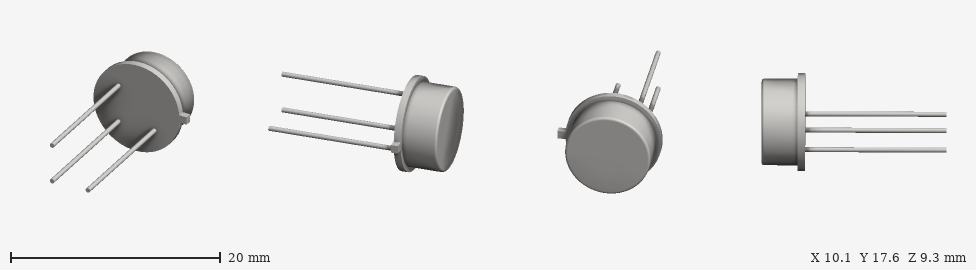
import cadquery as cq

TOTAL_LENGTH = 17.61
LEAD_LENGTH = 13.47
FLANGE_THICKNESS = 0.7
CAP_HEIGHT = TOTAL_LENGTH - LEAD_LENGTH - FLANGE_THICKNESS

FLANGE_DIAMETER = 9.3
CAP_DIAMETER = 8.26
CAP_EDGE_RADIUS = 0.25

TAB_REACH = 5.42
TAB_WIDTH = 0.81

LEAD_DIAMETER = 0.48
LEAD_OFFSET = 1.94
LEAD_POSITIONS = [
    (-LEAD_OFFSET, LEAD_OFFSET),
    (-LEAD_OFFSET, -LEAD_OFFSET),
    (LEAD_OFFSET, -LEAD_OFFSET),
]


def plane_at(y):
    """Workplane facing -Y, with local axes along X and Z of the part."""
    plane = cq.Plane(origin=(0, y, 0), xDir=(1, 0, 0), normal=(0, -1, 0))
    return cq.Workplane(plane)


def make_header():
    """Flange with its locating tab and the three leads, as one solid.

    The underside of the flange lies at Y = 0.
    """
    top = plane_at(FLANGE_THICKNESS)
    flange = top.circle(FLANGE_DIAMETER / 2).extrude(FLANGE_THICKNESS)
    tab = top.center(TAB_REACH / 2, 0).rect(TAB_REACH, TAB_WIDTH).extrude(FLANGE_THICKNESS)
    leads = plane_at(0).pushPoints(LEAD_POSITIONS).circle(LEAD_DIAMETER / 2).extrude(LEAD_LENGTH)
    return flange.union(tab).union(leads)


def make_cap():
    """Round cap seated on the flange, with a rounded outer end edge."""
    cap = plane_at(FLANGE_THICKNESS + CAP_HEIGHT).circle(CAP_DIAMETER / 2).extrude(CAP_HEIGHT)
    return cap.faces(">Y").edges().fillet(CAP_EDGE_RADIUS)


header = make_header()
cap = make_cap()

result = cq.Compound.makeCompound([header.val(), cap.val()])